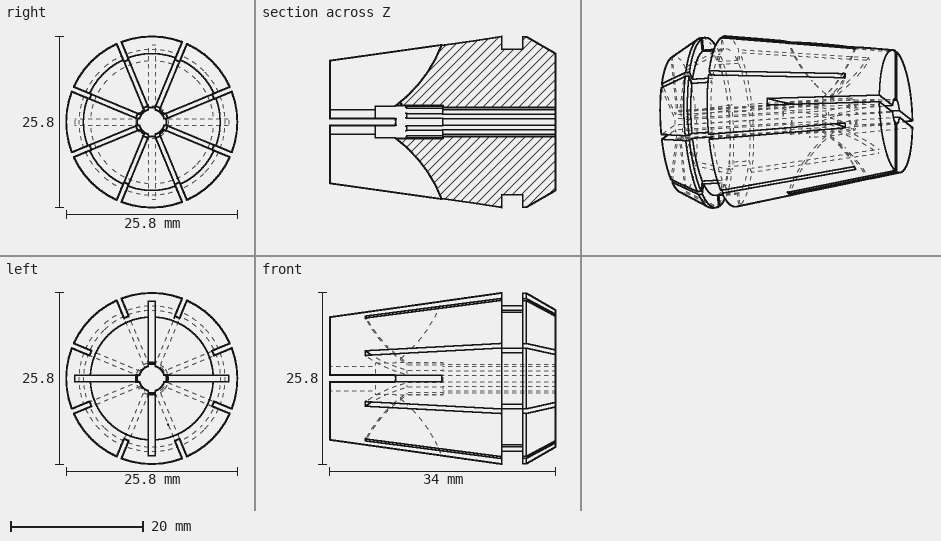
import cadquery as cq
import math

length = 34.0
cone_length = 25.9
cone_big_diameter = 25.8
cone_big_radius = cone_big_diameter / 2
cone_half_angle = 8.0
cone_small_radius = cone_big_radius - cone_length * math.tan(math.radians(cone_half_angle))

flange_start = 29.0
flange_width = 0.58
flange_radius = 12.85
groove_radius = 10.98
nose_start = flange_start + flange_width
nose_half_angle = 30.0
nose_end_radius = flange_radius - (length - nose_start) * math.tan(math.radians(nose_half_angle))

lip_radius = 1.9
lip_length = 6.8
relief_radius = 2.45
relief_end = 17.0
clamp_radius = 2.18

saw_radius = 20.57
saw_center_radius = 18.95
rear_slot_count = 4
rear_slot_width = 1.02
rear_slot_end = 16.83
front_slot_count = 8
front_slot_width = 0.75
front_slot_start = 5.35


def cone_radius_at(x):
    """Radius of the long cone at a distance x from its small end."""
    return cone_small_radius + x * math.tan(math.radians(cone_half_angle))


def saw_reach(radius):
    """Axial distance from the saw centre to its rim at a given radius from the collet axis."""
    return math.sqrt(saw_radius**2 - (saw_center_radius - radius) ** 2)


def turn(profile):
    """Solid of revolution about the X axis from (x, radius) points."""
    return cq.Workplane("XZ").polyline(profile).close().revolve(360, (0, 0, 0), (1, 0, 0))


def make_body():
    profile = [
        (0, 0),
        (0, cone_small_radius),
        (cone_length, cone_big_radius),
        (cone_length, groove_radius),
        (flange_start, groove_radius),
        (flange_start, flange_radius),
        (nose_start, flange_radius),
        (length, nose_end_radius),
        (length, 0),
    ]
    return turn(profile)


def make_bore():
    profile = [
        (0, 0),
        (0, lip_radius),
        (lip_length, lip_radius),
        (lip_length, relief_radius),
        (relief_end, relief_radius),
        (relief_end, clamp_radius),
        (length, clamp_radius),
        (length, 0),
    ]
    return turn(profile)


def make_saw_cut(saw_x, open_end_x, width):
    """Slot in the XZ half-plane above the axis, from the saw rim out through an open end."""
    saw = (
        cq.Workplane("XZ")
        .center(saw_x, saw_center_radius)
        .circle(saw_radius)
        .extrude(width / 2, both=True)
    )
    run_out = (
        cq.Workplane("XZ")
        .moveTo(saw_x, 0)
        .lineTo(open_end_x, 0)
        .lineTo(open_end_x, saw_center_radius)
        .lineTo(saw_x, saw_center_radius)
        .close()
        .extrude(width / 2, both=True)
    )
    span = 2 * (length + saw_radius)
    above_axis = cq.Workplane("XY").box(span, width, span, centered=(True, True, False))
    return saw.union(run_out).intersect(above_axis)


def cut_slots(body, slot, count, first_angle):
    for i in range(count):
        angle = first_angle + i * 360 / count
        body = body.cut(slot.rotate((0, 0, 0), (1, 0, 0), angle))
    return body


rear_saw_x = rear_slot_end - saw_reach(cone_radius_at(rear_slot_end))
front_saw_x = front_slot_start + saw_reach(cone_radius_at(front_slot_start))
rear_slot = make_saw_cut(rear_saw_x, 0, rear_slot_width)
front_slot = make_saw_cut(front_saw_x, length, front_slot_width)

result = make_body().cut(make_bore())
result = cut_slots(result, rear_slot, rear_slot_count, 0)
result = cut_slots(result, front_slot, front_slot_count, 180 / front_slot_count)